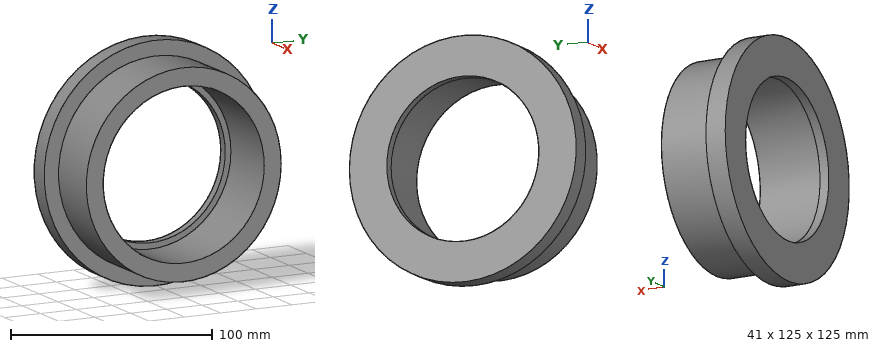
import cadquery as cq

total_length = 41.0
flange_length = 11.0
flange_diameter = 125.0
sleeve_diameter = 109.0

lip_diameter = 83.67
lip_length = 5.0
bore_diameter = 90.0


def cylinder_along_x(diameter, start, length):
    """Solid cylinder on the X axis, from start towards +X."""
    return cq.Workplane("YZ", origin=(start, 0, 0)).circle(diameter / 2).extrude(length)


def make_body():
    """Flange with the narrower sleeve behind it."""
    flange = cylinder_along_x(flange_diameter, 0, flange_length)
    sleeve = cylinder_along_x(sleeve_diameter, 0, total_length)
    return flange.union(sleeve)


def make_bore():
    """Stepped through bore, narrow at the flange face."""
    lip_hole = cylinder_along_x(lip_diameter, 0, total_length)
    main_bore = cylinder_along_x(bore_diameter, lip_length, total_length - lip_length)
    return lip_hole.union(main_bore)


result = make_body().cut(make_bore())